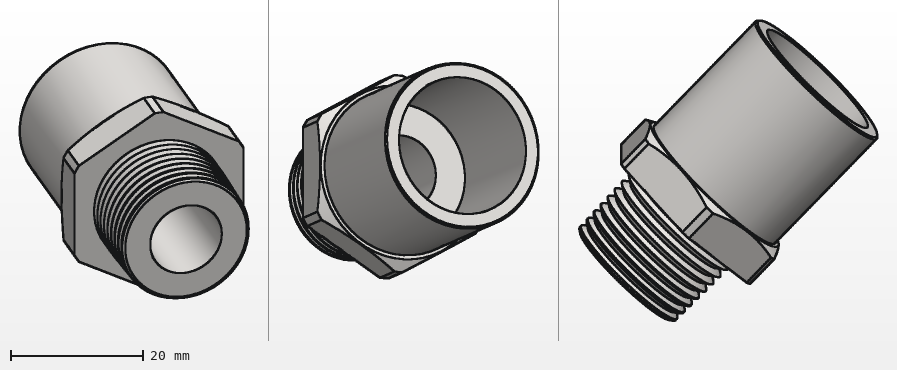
import cadquery as cq
import math

total_length = 41.9
hex_start = 22.55
hex_length = 6.35
hex_end = hex_start + hex_length

barrel_radius = 12.75
barrel_chamfer = 0.25

across_flats = 26.9
corner_radius = 30.3 / 2
collar_face_radius = 13.35
collar_chamfer_angle = 30.0

thread_ring_count = 9
thread_pitch = 1.565
thread_root_radius = 9.25
thread_crest_radius = 10.35
crest_cone_radius_start = 10.48
crest_taper = 1 / 32

socket_radius = 10.5
socket_depth = hex_start
bore_radius = 5.7


def revolve_about_x(points):
    """Turn a closed outline of (x, radius) points about the X axis."""
    return cq.Workplane("XY").polyline(points).close().revolve(360, (0, 0, 0), (1, 0, 0))


def cylinder_on_x(start, end, radius):
    return cq.Workplane("YZ").workplane(offset=start).circle(radius).extrude(end - start)


def make_barrel():
    barrel = cylinder_on_x(0, hex_start, barrel_radius)
    return barrel.faces("<X").chamfer(barrel_chamfer)


def make_collar():
    across_corners = across_flats / math.cos(math.radians(30))
    prism = (
        cq.Workplane("YZ")
        .workplane(offset=hex_start)
        .polygon(6, across_corners)
        .extrude(hex_length)
        .rotate((0, 0, 0), (1, 0, 0), 90)
    )
    chamfer_length = (corner_radius - collar_face_radius) * math.tan(math.radians(collar_chamfer_angle))
    envelope = revolve_about_x([
        (hex_start, 0),
        (hex_start, collar_face_radius),
        (hex_start + chamfer_length, corner_radius),
        (hex_end, corner_radius),
        (hex_end, 0),
    ])
    return prism.intersect(envelope)


def make_thread():
    thread_length = total_length - hex_end
    outline = [(hex_end, 0), (hex_end, thread_crest_radius)]
    for ring in range(thread_ring_count):
        crest_x = hex_end + ring * thread_pitch
        outline.append((crest_x + thread_pitch / 2, thread_root_radius))
        outline.append((crest_x + thread_pitch, thread_crest_radius))
    outline.append((hex_end + thread_ring_count * thread_pitch, 0))

    crest_cone = revolve_about_x([
        (hex_end, 0),
        (hex_end, crest_cone_radius_start),
        (total_length, crest_cone_radius_start - crest_taper * thread_length),
        (total_length, 0),
    ])
    return revolve_about_x(outline).intersect(crest_cone)


socket = cylinder_on_x(0, socket_depth, socket_radius)
bore = cylinder_on_x(0, total_length, bore_radius)

result = make_barrel().union(make_collar()).union(make_thread()).cut(socket).cut(bore)